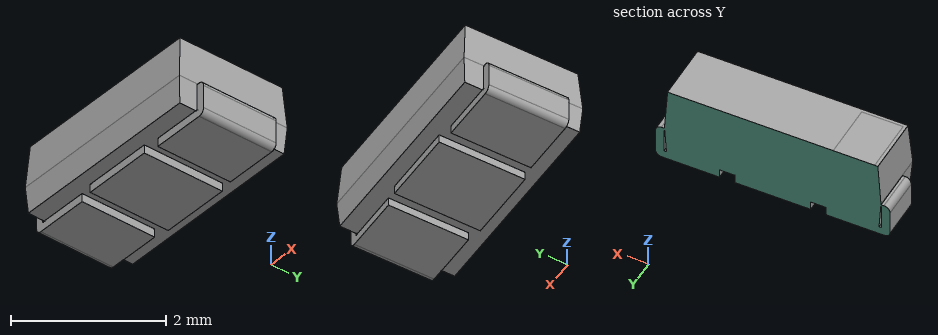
import cadquery as cq
import math

overall_length = 3.4
overall_width = 1.8
overall_height = 1.2

strip_thickness = 0.13
lead_width = 1.21
lead_height = 0.535
lead_foot_length = 0.93
lead_bend_radius = 0.09

pad_length = 1.1
pad_width = 1.3

draft_angle = 4.0
parting_height = 0.545
body_length = overall_length - 2 * strip_thickness
body_bottom = strip_thickness

mark_length = 0.6
mark_width = 1.61
mark_inset = 0.047
mark_depth = 0.02


def make_body_half(height):
    """Drafted half of the body, from the parting line up (positive height) or down (negative)."""
    shrink = 2 * abs(height) * math.tan(math.radians(draft_angle))
    return (
        cq.Workplane("XY", origin=(0, 0, parting_height))
        .rect(body_length, overall_width)
        .workplane(offset=height)
        .rect(body_length - shrink, overall_width - shrink)
        .loft(ruled=True)
    )


def make_body():
    upper_half = make_body_half(overall_height - parting_height)
    lower_half = make_body_half(body_bottom - parting_height)
    return upper_half.union(lower_half)


def make_mark(body):
    """Thin block set into the top face near its -X edge."""
    top_edge = body.faces(">Z").val().BoundingBox().xmin
    return (
        cq.Workplane("XY", origin=(top_edge + mark_inset, 0, overall_height - mark_depth))
        .box(mark_length, mark_width, mark_depth, centered=(False, True, False))
    )


def make_lead():
    """L-shaped terminal at the -X end, with its two outer corners rounded."""
    outer_x = -overall_length / 2
    inner_x = outer_x + strip_thickness
    foot_end_x = outer_x + lead_foot_length
    return (
        cq.Workplane("XZ")
        .moveTo(outer_x, 0)
        .lineTo(foot_end_x, 0)
        .lineTo(foot_end_x, strip_thickness)
        .lineTo(inner_x, strip_thickness)
        .lineTo(inner_x, lead_height)
        .lineTo(outer_x, lead_height)
        .close()
        .extrude(lead_width / 2, both=True)
        .edges("|Y and <X")
        .fillet(lead_bend_radius)
    )


def make_pad():
    return cq.Workplane("XY").box(pad_length, pad_width, strip_thickness, centered=(True, True, False))


body = make_body()
mark = make_mark(body)
lead = make_lead()

package = body.union(lead).union(lead.mirror("YZ")).union(make_pad())

result = package.cut(mark).union(mark, clean=False).solids()